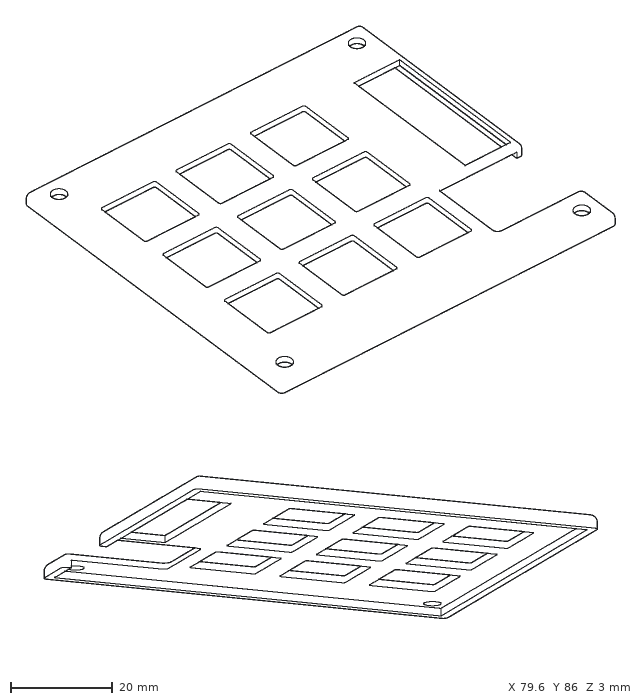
import cadquery as cq

width = 79.6
depth = 86.0
height = 3.0
plate_thickness = 1.5
rim_height = height - plate_thickness
rim_width = 1.8
corner_radius = 1.0
rim_edge_radius = 1.55
notch_edge_radius = 0.95

notch_left = 50.65
notch_right = 69.1
notch_front = 63.9

window_left = 14.45
window_right = 48.85
window_front = 72.5
window_rear = 84.1

key_size = 13.9
key_pitch = 19.1
key_count = 3
key_corner_radius = 0.4
first_row_y = 15.1

hole_diameter = 3.4
left_hole_inset = 5.0
front_right_hole_inset = 4.7
rear_right_hole_inset = 5.0
front_hole_inset = 4.8
rear_hole_inset = 5.0


def block(left, right, front, rear, bottom, top):
    """Box given by its limits along X, Y and Z."""
    size = (right - left, rear - front, top - bottom)
    return cq.Workplane("XY").box(*size, centered=False).translate((left, front, bottom))


def make_shell():
    """Rounded plate with the rear notch and a rim below its outer edges."""
    margin = 0.1
    notch_region = cq.selectors.BoxSelector(
        (notch_left - margin, notch_front - margin, -margin),
        (notch_right + margin, depth - margin, height + margin),
    )
    outside_notch = cq.selectors.InverseSelector(notch_region)

    outline = block(0, width, 0, depth, 0, height)
    body = outline.cut(block(notch_left, notch_right, notch_front, depth, 0, height))
    body = body.faces(">Z").edges(outside_notch).fillet(rim_edge_radius)
    body = body.edges("|Z").edges(notch_region).fillet(corner_radius)
    body = body.faces(">Z").edges(notch_region).fillet(notch_edge_radius)
    body = body.edges("|Z").edges(outside_notch).fillet(corner_radius)

    cavity = block(rim_width, width - rim_width, rim_width, depth - rim_width, 0, rim_height)
    return body.cut(cavity)


def make_key_openings():
    """Square grid of key openings, centred across the width."""
    grid_center_y = first_row_y + key_pitch * (key_count - 1) / 2
    return (
        cq.Workplane("XY")
        .center(width / 2, grid_center_y)
        .rarray(key_pitch, key_pitch, key_count, key_count)
        .rect(key_size, key_size)
        .extrude(height)
        .edges("|Z")
        .fillet(key_corner_radius)
    )


def make_screw_holes():
    """Four through holes near the corners."""
    centers = [
        (left_hole_inset, front_hole_inset),
        (width - front_right_hole_inset, front_hole_inset),
        (left_hole_inset, depth - rear_hole_inset),
        (width - rear_right_hole_inset, depth - rear_hole_inset),
    ]
    return cq.Workplane("XY").pushPoints(centers).circle(hole_diameter / 2).extrude(height)


window = block(window_left, window_right, window_front, window_rear, 0, height)
result = make_shell().cut(window).cut(make_key_openings()).cut(make_screw_holes())